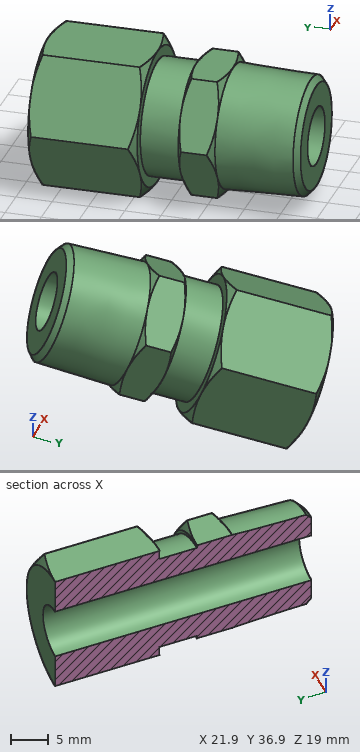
import cadquery as cq
import math

total_length = 36.9
bore_diameter = 8.05
nut_flats = 19.0
nut_start = 21.85
body_hex_flats = 16.97
body_hex_start = 11.45
body_hex_end = 16.5
neck_diameter = 16.1

taper_large_diameter = 16.97
taper_small_diameter = 16.3
tip_diameter = 14.6
tip_chamfer_length = 0.77
corner_chamfer_angle = 30.0


def revolve_about_y(profile):
    """Revolve a closed (radius, Y) profile around the part axis."""
    return cq.Workplane("XY").polyline(profile).close().revolve(360, (0, 0, 0), (0, 1, 0))


def chamfered_hex(flats, start, end):
    """Hexagon with corners on X and conical chamfers that meet the flats at both ends."""
    corner_diameter = flats / math.cos(math.radians(30))
    flat_radius = flats / 2
    corner_radius = corner_diameter / 2
    drop = (corner_radius - flat_radius) * math.tan(math.radians(corner_chamfer_angle))
    prism = (
        cq.Workplane("XZ", origin=(0, end, 0))
        .polygon(6, corner_diameter)
        .extrude(end - start)
    )
    envelope = revolve_about_y([
        (0, start),
        (flat_radius, start),
        (corner_radius, start + drop),
        (corner_radius, end - drop),
        (flat_radius, end),
        (0, end),
    ])
    return prism.intersect(envelope)


turned_body = revolve_about_y([
    (0, 0),
    (tip_diameter / 2, 0),
    (taper_small_diameter / 2, tip_chamfer_length),
    (taper_large_diameter / 2, body_hex_start),
    (neck_diameter / 2, body_hex_start),
    (neck_diameter / 2, nut_start),
    (0, nut_start),
])

body_hex = chamfered_hex(body_hex_flats, body_hex_start, body_hex_end)
nut = chamfered_hex(nut_flats, nut_start, total_length)

bore = cq.Workplane("XZ").circle(bore_diameter / 2).extrude(-total_length)

result = turned_body.union(body_hex).union(nut).cut(bore)